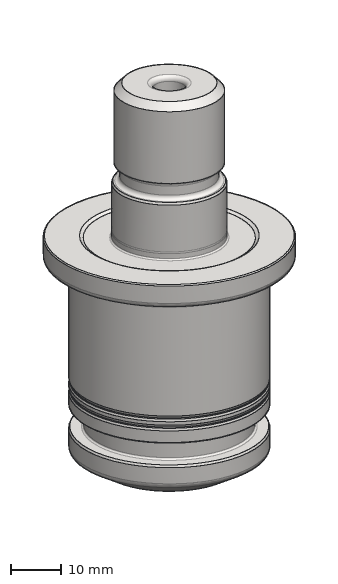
import cadquery as cq
import math

total_height = 82.0

body_radius = 39.9 / 2
nose_radius = 14.0
nose_angle = 30.0
nose_round = 1.2

groove_radius = 34.0 / 2
groove_bottom = 8.1
groove_top = 12.8
groove_fillet = 0.4

fine_groove_heights = (16.15, 18.1)
fine_groove_width = 1.2
fine_groove_floor = 0.25
fine_groove_depth = 0.2

flange_radius = 50.0 / 2
flange_top = 49.1
flange_under_root = 43.0
flange_under_angle = 15.0
flange_under_round = 1.1
flange_edge_chamfer = 0.25
recess_outer_radius = 17.8
recess_floor_radius = 17.05
recess_depth = 0.4

stem_base_radius = 23.0 / 2
stem_radius = 22.9 / 2
stem_step_bottom = 50.1
stem_step_top = 50.4
stem_base_fillet = 0.3
neck_radius = 19.7 / 2
neck_bottom = 61.0
neck_top = 64.95
neck_fillet = 1.0
tip_radius = 22.0 / 2
tip_chamfer = 1.55

lip_chamfer_width = 0.25
lip_chamfer_height = 0.5

bore_radius = 6.5 / 2
bore_mouth_round = 1.1


def rise(run, angle):
    """Height gained over a horizontal run at an angle from horizontal."""
    return run * math.tan(math.radians(angle))


def revolve(points):
    """Solid of revolution about Z from a closed (radius, height) outline."""
    return cq.Workplane("XZ").polyline(points).close().revolve(360, (0, 0), (0, 1))


def round_circle(solid, radius, height, round_radius):
    """Fillet the circular edge having the given radius and height."""
    tolerance = 0.01
    box = cq.selectors.BoxSelector(
        (-radius - tolerance, -radius - tolerance, height - tolerance),
        (radius + tolerance, radius + tolerance, height + tolerance),
        boundingbox=True,
    )
    edges = solid.edges(box).filter(lambda edge: abs(edge.radius() - radius) < tolerance)
    return edges.fillet(round_radius)


def fine_groove(height):
    """Ring cutter for a groove with sloped walls and a narrow floor."""
    inner = body_radius - fine_groove_depth
    half_width = fine_groove_width / 2
    half_floor = fine_groove_floor / 2
    return revolve([
        (body_radius, height - half_width),
        (inner, height - half_floor),
        (inner, height + half_floor),
        (body_radius, height + half_width),
    ])


nose_top = rise(body_radius - nose_radius, nose_angle)
flange_under_rim = flange_under_root + rise(flange_radius - body_radius, flange_under_angle)
recess_floor = flange_top - recess_depth

result = revolve([
    (0, 0),
    (nose_radius, 0),
    (body_radius, nose_top),
    (body_radius, groove_bottom - lip_chamfer_height),
    (body_radius - lip_chamfer_width, groove_bottom),
    (groove_radius, groove_bottom),
    (groove_radius, groove_top),
    (body_radius - lip_chamfer_width, groove_top),
    (body_radius, groove_top + lip_chamfer_width),
    (body_radius, flange_under_root),
    (flange_radius, flange_under_rim),
    (flange_radius, flange_top - flange_edge_chamfer),
    (flange_radius - flange_edge_chamfer, flange_top),
    (recess_outer_radius, flange_top),
    (recess_floor_radius, recess_floor),
    (stem_base_radius, recess_floor),
    (stem_base_radius, stem_step_bottom),
    (stem_radius, stem_step_top),
    (stem_radius, neck_bottom - lip_chamfer_height),
    (stem_radius - lip_chamfer_width, neck_bottom),
    (neck_radius, neck_bottom),
    (neck_radius, neck_top),
    (tip_radius, neck_top),
    (tip_radius, total_height - tip_chamfer),
    (tip_radius - tip_chamfer, total_height),
    (0, total_height),
])

result = result.cut(cq.Workplane("XY").circle(bore_radius).extrude(total_height))
for groove_height in fine_groove_heights:
    result = result.cut(fine_groove(groove_height))

rounded_edges = [
    (body_radius, nose_top, nose_round),
    (groove_radius, groove_bottom, groove_fillet),
    (groove_radius, groove_top, groove_fillet),
    (body_radius, flange_under_root, flange_under_round),
    (flange_radius, flange_under_rim, flange_under_round),
    (stem_base_radius, recess_floor, stem_base_fillet),
    (neck_radius, neck_bottom, neck_fillet),
    (neck_radius, neck_top, neck_fillet),
    (bore_radius, total_height, bore_mouth_round),
]
for edge_radius, edge_height, fillet_radius in rounded_edges:
    result = round_circle(result, edge_radius, edge_height, fillet_radius)